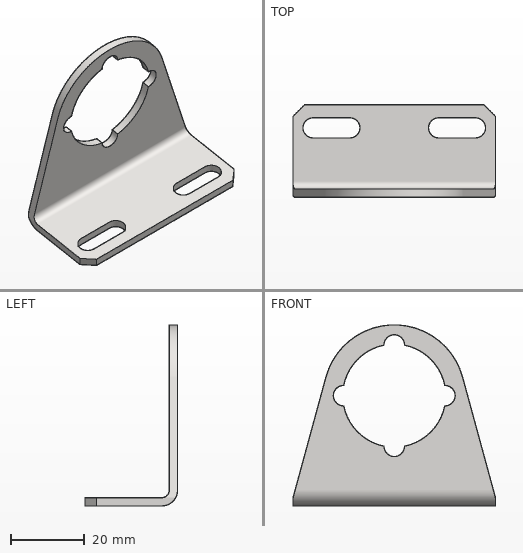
import cadquery as cq
import math

width = 55.0
depth = 25.2
height = 49.2
thickness = 2.3
inner_bend_radius = 2.0
outer_bend_radius = inner_bend_radius + thickness

head_radius = 19.25
head_z = height - head_radius
flank_start_z = thickness
bore_radius = 13.95
notch_radius = 2.75
notch_offset = 13.75
notch_count = 4

slot_length = 15.4
slot_width = 5.4
slot_spacing = 34.1
slot_to_back = 6.3
corner_chamfer = 3.2


def bent_strip():
    """L-shaped sheet, bent along X, at full width."""
    return (
        cq.Workplane("YZ")
        .moveTo(outer_bend_radius, 0)
        .lineTo(depth, 0)
        .lineTo(depth, thickness)
        .lineTo(outer_bend_radius, thickness)
        .radiusArc((thickness, outer_bend_radius), inner_bend_radius)
        .lineTo(thickness, height)
        .lineTo(0, height)
        .lineTo(0, outer_bend_radius)
        .radiusArc((outer_bend_radius, 0), -outer_bend_radius)
        .close()
        .extrude(width / 2, both=True)
    )


def front_outline():
    """Tapered outline with a round head, extruded through the full depth."""
    half_width = width / 2
    rise = head_z - flank_start_z
    corner_distance = math.hypot(half_width, rise)
    tangent_angle = math.atan2(-rise, half_width) + math.acos(head_radius / corner_distance)
    tangent_x = head_radius * math.cos(tangent_angle)
    tangent_z = head_z + head_radius * math.sin(tangent_angle)
    return (
        cq.Workplane("XZ")
        .moveTo(-half_width, 0)
        .lineTo(half_width, 0)
        .lineTo(half_width, flank_start_z)
        .lineTo(tangent_x, tangent_z)
        .threePointArc((0, height), (-tangent_x, tangent_z))
        .lineTo(-half_width, flank_start_z)
        .close()
        .extrude(-depth)
    )


def notched_bore():
    """Round opening with evenly spaced round notches in its rim."""
    plane = cq.Workplane("XZ", origin=(0, 0, head_z))
    bore = plane.circle(bore_radius).extrude(-thickness)
    notches = (
        plane.polarArray(notch_offset, 0, 360, notch_count)
        .circle(notch_radius)
        .extrude(-thickness)
    )
    return bore.union(notches)


def foot_slots():
    """Pair of mounting slots running along X."""
    slot_x = slot_spacing / 2
    slot_y = depth - slot_to_back
    return (
        cq.Workplane("XY")
        .pushPoints([(-slot_x, slot_y), (slot_x, slot_y)])
        .slot2D(slot_length, slot_width)
        .extrude(thickness)
    )


bracket = bent_strip().intersect(front_outline())
bracket = bracket.edges("|Z and >Y").chamfer(corner_chamfer)
result = bracket.cut(notched_bore()).cut(foot_slots())